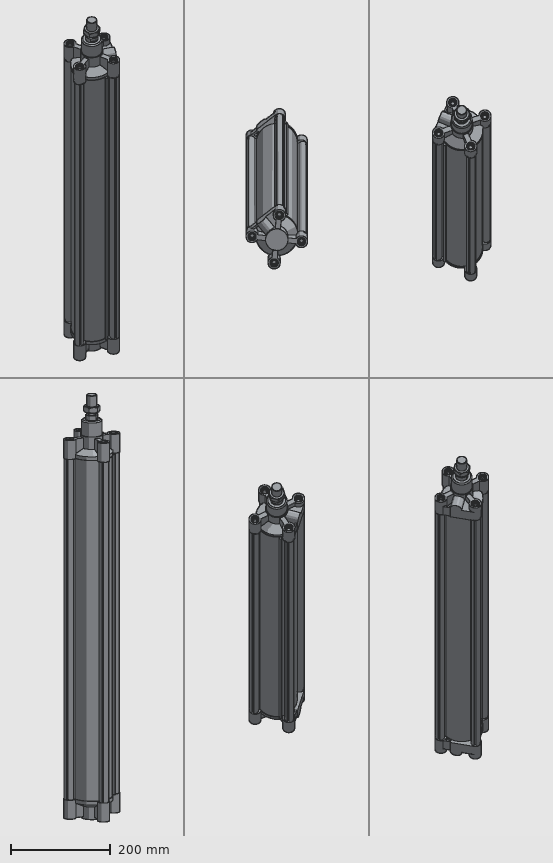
import cadquery as cq
import math

total_length = 878.5
rear_collar_height = 4.0
collar_height = 3.5
head_length = 39.5
front_face = 792.0
barrel_top = front_face - head_length
barrel_bottom = rear_collar_height + head_length
neck_top = 827.5

post_offset = 35.0
post_diameter = 25.0
hub_diameter = 45.0
web_width = 10.5
flange_diameter = 85.0
flange_thickness = 8.0
cone_height = 10.0
neck_diameter = 41.0
neck_chamfer = 3.0

screw_recess_steps = [(17.0, 3.0), (12.0, 5.0), (8.5, 10.5)]

port_center_x = 2.0
port_diameter = 24.0
port_drop = 2.0
port_face_y = post_offset + post_diameter / 2
port_wall_inner_y = 42.0
port_wall_outer_y = 46.0

tube_diameter = 83.0
bar_offset = 37.0
bar_diameter = 19.0
bar_neck_width = 10.5
slot_width = 3.5
slot_depth = 4.0
rail_center_y = 19.0
rail_width = 4.0
rail_reach = 43.0

rod_diameter = 25.0
flats_width = 22.0
flats_bottom = 830.0
thread_diameter = 20.0
thread_chamfer = 1.0
thread_bottom = 842.0
undercut_diameter = 15.0
shoulder = 837.0
nut_width = 30.0
nut_thickness = 12.0
nut_bottom = 843.0
nut_chamfer = 3.0

QUARTER_TURNS = [0, 90, 180, 270]
CORNER_ANGLES = [45, 135, 225, 315]


def cylinder(diameter, bottom, top):
    return cq.Workplane("XY").workplane(offset=bottom).circle(diameter / 2).extrude(top - bottom)


def square_corners(offset):
    return [(sx * offset, sy * offset) for sx in (-1, 1) for sy in (-1, 1)]


def diagonal_strips(reach, width, height):
    """Four upright plates that run from the axis toward the corners."""
    plate = cq.Workplane("XY").box(reach, width, height, centered=(False, True, False))
    strips = plate.rotate((0, 0, 0), (0, 0, 1), CORNER_ANGLES[0])
    for angle in CORNER_ANGLES[1:]:
        strips = strips.union(plate.rotate((0, 0, 0), (0, 0, 1), angle))
    return strips


def hub_and_flange(hub_height):
    """Round hub on a flange whose conical face rises to the hub."""
    hub_radius = hub_diameter / 2
    flange_radius = flange_diameter / 2
    cone_top = flange_thickness + cone_height
    return (
        cq.Workplane("XZ")
        .lineTo(flange_radius, 0)
        .lineTo(flange_radius, flange_thickness)
        .lineTo(hub_radius, cone_top)
        .lineTo(hub_radius, hub_height)
        .lineTo(0, hub_height)
        .close()
        .revolve(360, (0, 0, 0), (0, 1, 0))
    )


def posts_and_webs():
    """Four corner posts with the diagonal webs that carry them."""
    posts = (
        cq.Workplane("XY")
        .pushPoints(square_corners(post_offset))
        .circle(post_diameter / 2)
        .extrude(head_length)
    )
    return posts.union(diagonal_strips(post_offset * math.sqrt(2), web_width, head_length))


def port_boss():
    """Horizontal round boss with a block to the -X post and a thin wall to the +X post."""
    port_radius = port_diameter / 2
    axis_height = head_length - port_drop - port_radius
    block_right = port_center_x + port_radius
    block = (
        cq.Workplane("XY")
        .polyline([
            (0, 0),
            (block_right, 0),
            (block_right, port_face_y),
            (-post_offset, port_face_y),
            (-post_offset, post_offset),
        ])
        .close()
        .extrude(axis_height)
    )
    boss = (
        cq.Workplane("XZ")
        .center(port_center_x, axis_height)
        .circle(port_radius)
        .extrude(-port_face_y)
    )
    wall = cq.Workplane("XY").box(
        post_offset, port_wall_outer_y - port_wall_inner_y, axis_height, centered=False
    ).translate((0, port_wall_inner_y, 0))
    return block.union(boss).union(wall)


def head(collar):
    """Cylinder head with its inner face at Z = 0 and its outer face upward."""
    corners = square_corners(post_offset)
    body = hub_and_flange(head_length + collar).union(posts_and_webs())
    body = body.union(port_boss())
    for diameter, depth in screw_recess_steps:
        recess = (
            cq.Workplane("XY")
            .workplane(offset=head_length)
            .pushPoints(corners)
            .circle(diameter / 2)
            .extrude(-depth)
        )
        body = body.cut(recess)
    return body


def make_front_head():
    neck = cylinder(neck_diameter, front_face, neck_top).faces(">Z").chamfer(neck_chamfer)
    rod_bore = cylinder(rod_diameter, barrel_top, neck_top)
    return head(collar_height).translate((0, 0, barrel_top)).union(neck).cut(rod_bore)


def make_rear_head():
    return head(rear_collar_height).mirror("XY").translate((0, 0, barrel_bottom))


def make_barrel():
    length = barrel_top - barrel_bottom
    body = cylinder(tube_diameter, 0, length)
    body = body.union(
        cq.Workplane("XY").pushPoints(square_corners(bar_offset)).circle(bar_diameter / 2).extrude(length)
    )
    body = body.union(diagonal_strips(bar_offset * math.sqrt(2), bar_neck_width, length))
    rails = cq.Workplane("XY").center(0, rail_center_y).rect(2 * rail_reach, rail_width).extrude(length)
    body = body.union(rails)
    bar_edge = bar_offset + bar_diameter / 2
    slots = (
        cq.Workplane("XY")
        .pushPoints([(bar_edge, -bar_offset), (bar_edge, bar_offset)])
        .rect(2 * slot_depth, slot_width)
        .extrude(length)
    )
    for angle in QUARTER_TURNS:
        body = body.cut(slots.rotate((0, 0, 0), (0, 0, 1), angle))
    return body.translate((0, 0, barrel_bottom))


def make_rod():
    shank = cylinder(rod_diameter, barrel_top, flats_bottom)
    flats = cylinder(rod_diameter, flats_bottom, shoulder).intersect(
        cq.Workplane("XY").workplane(offset=flats_bottom)
        .rect(flats_width, rod_diameter).extrude(shoulder - flats_bottom)
    )
    undercut = cylinder(undercut_diameter, shoulder, thread_bottom)
    thread = cylinder(thread_diameter, thread_bottom, total_length).faces(">Z").chamfer(thread_chamfer)
    return shank.union(flats).union(undercut).union(thread)


def make_nut():
    """Hexagon nut with corners on the Y axis, chamfered at both ends."""
    across_corners = nut_width / math.cos(math.pi / 6)
    hexagon = (
        cq.Workplane("XY")
        .workplane(offset=nut_bottom)
        .transformed(rotate=(0, 0, 90))
        .polygon(6, across_corners)
        .extrude(nut_thickness)
    )
    nut_top = nut_bottom + nut_thickness
    envelope = cylinder(across_corners, nut_bottom, nut_top).faces("<Z or >Z").chamfer(nut_chamfer)
    return hexagon.intersect(envelope).cut(cylinder(thread_diameter, nut_bottom, nut_top))


barrel = make_barrel()
front_head = make_front_head()
rear_head = make_rear_head()
rod = make_rod()
nut = make_nut()

result = cq.Compound.makeCompound(
    [barrel.val(), front_head.val(), rear_head.val(), rod.val(), nut.val()]
)